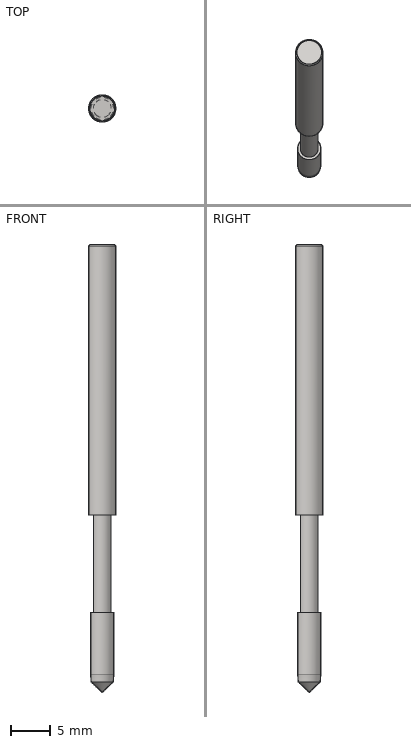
import cadquery as cq

total_length = 57.4
barrel_bottom = 22.7
head_top = 10.25

barrel_radius = 3.5 / 2
barrel_chamfer = 0.2

stem_radius = 2.3 / 2
head_radius = 3.0 / 2
taper_top = 2.3
cone_height = 1.4
cone_radius = 1.45


def make_barrel():
    """Round barrel with a chamfered upper end."""
    return (
        cq.Workplane("XY")
        .workplane(offset=barrel_bottom)
        .circle(barrel_radius)
        .extrude(total_length - barrel_bottom)
        .faces(">Z")
        .chamfer(barrel_chamfer)
    )


def make_plunger():
    """Turned plunger whose stem meets the lower end face of the barrel."""
    return (
        cq.Workplane("XZ")
        .moveTo(0, 0)
        .lineTo(cone_radius, cone_height)
        .lineTo(head_radius, taper_top)
        .lineTo(head_radius, head_top)
        .lineTo(stem_radius, head_top)
        .lineTo(stem_radius, barrel_bottom)
        .lineTo(0, barrel_bottom)
        .close()
        .revolve(360, (0, 0, 0), (0, 1, 0))
    )


barrel = make_barrel()
plunger = make_plunger()

result = cq.Compound.makeCompound([barrel.val(), plunger.val()])